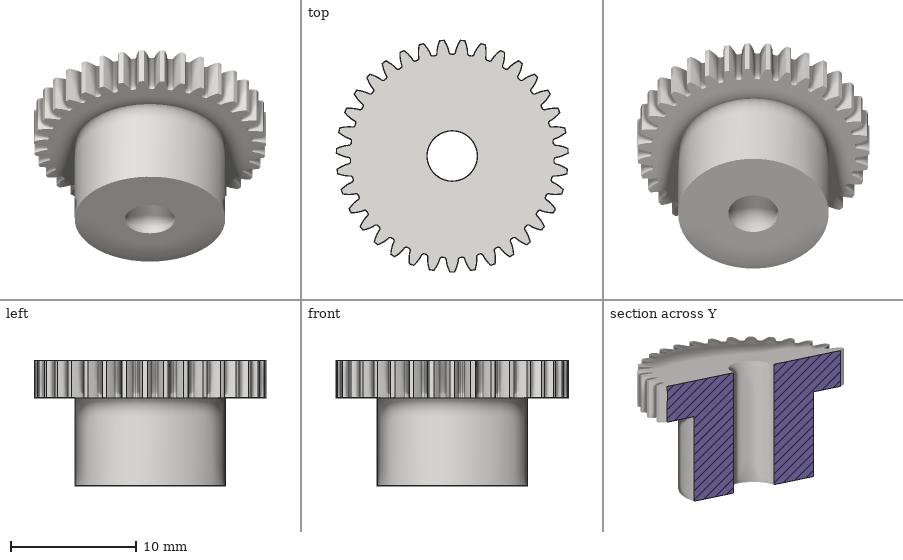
import cadquery as cq
import math


overall_width = 18.49
overall_height = 10.0
gear_thickness = 3.0
hub_diameter = 12.0
bore_diameter = 4.0

teeth = 35
pressure_angle = math.radians(20)
dedendum_factor = 1.25
root_fillet = 0.18
flank_points = 7


def involute(angle):
    return math.tan(angle) - angle


tooth_pitch = 2 * math.pi / teeth
base_half_angle = tooth_pitch / 4 + involute(pressure_angle)
tip_pressure_angle = math.acos(teeth * math.cos(pressure_angle) / (teeth + 2))
tip_half_angle = base_half_angle - involute(tip_pressure_angle)

widest_corner_angle = tooth_pitch / 4 - tip_half_angle
tip_radius = overall_width / 2 / math.cos(widest_corner_angle)

module = 2 * tip_radius / (teeth + 2)
pitch_radius = module * teeth / 2
base_radius = pitch_radius * math.cos(pressure_angle)
root_radius = pitch_radius - dedendum_factor * module

fillet_center_radius = root_radius + root_fillet
fillet_center_unroll = math.sqrt(fillet_center_radius**2 - base_radius**2)
flank_start_roll = (fillet_center_unroll - root_fillet) / base_radius
flank_end_roll = math.tan(tip_pressure_angle)
fillet_center_angle = (
    base_half_angle
    - fillet_center_unroll / base_radius
    + root_fillet / base_radius
    + math.atan2(fillet_center_unroll, base_radius)
)


def polar(radius, angle):
    return (radius * math.cos(angle), radius * math.sin(angle))


def flank_curve(center_angle, side):
    """Points up one involute flank, from the root fillet to the tip; side is -1 or +1."""
    points = []
    for i in range(flank_points):
        roll = flank_start_roll + (flank_end_roll - flank_start_roll) * i / (flank_points - 1)
        radius = base_radius * math.hypot(1, roll)
        half_angle = base_half_angle - involute(math.atan(roll))
        points.append(polar(radius, center_angle + side * half_angle))
    return points


def fillet_middle(center_angle, side, flank_foot):
    """Point halfway round the root fillet that ends at flank_foot."""
    center = cq.Vector(*polar(fillet_center_radius, center_angle + side * fillet_center_angle))
    to_root = center.normalized() * -1
    to_flank = (cq.Vector(*flank_foot) - center).normalized()
    middle = center + (to_root + to_flank).normalized() * root_fillet
    return (middle.x, middle.y)


def gear_outline():
    first_tooth = -math.pi / 2
    outline = cq.Workplane("XY").moveTo(*polar(root_radius, first_tooth - fillet_center_angle))
    for i in range(teeth):
        tooth = first_tooth + i * tooth_pitch
        rising = flank_curve(tooth, -1)
        falling = flank_curve(tooth, 1)[::-1]
        next_gap = tooth + tooth_pitch / 2
        next_root_start = tooth + tooth_pitch - fillet_center_angle
        outline = (
            outline.threePointArc(fillet_middle(tooth, -1, rising[0]), rising[0])
            .spline(rising[1:], includeCurrent=True)
            .threePointArc(polar(tip_radius, tooth), falling[0])
            .spline(falling[1:], includeCurrent=True)
            .threePointArc(
                fillet_middle(tooth, 1, falling[-1]),
                polar(root_radius, tooth + fillet_center_angle),
            )
            .threePointArc(polar(root_radius, next_gap), polar(root_radius, next_root_start))
        )
    return outline.close()


hub_height = overall_height - gear_thickness
gear = gear_outline().extrude(gear_thickness).translate((0, 0, hub_height))
hub = cq.Workplane("XY").circle(hub_diameter / 2).extrude(hub_height)
bore = cq.Workplane("XY").circle(bore_diameter / 2).extrude(overall_height)

result = gear.union(hub).cut(bore)